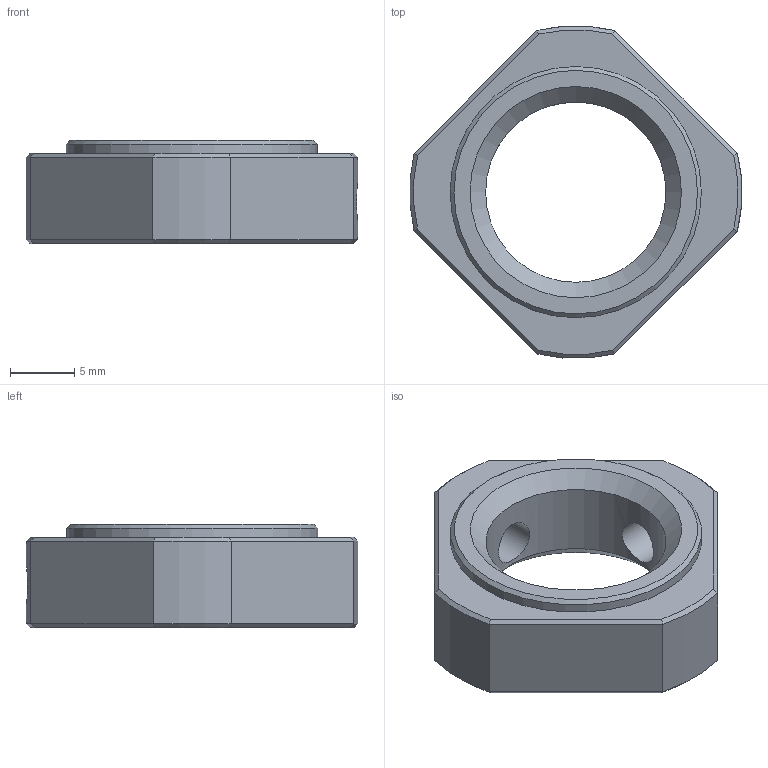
import cadquery as cq

body_diameter = 25.8
across_flats = 22.0
flats_angle = 45
body_height = 7.0
edge_chamfer = 0.3

collar_diameter = 19.5
total_height = 8.0
collar_height = total_height - body_height

bore_diameter = 14.0
countersink_diameter = 16.4
countersink_depth = (countersink_diameter - bore_diameter) / 2

screw_hole_diameter = 3.4
screw_hole_height = 3.25
screw_hole_angles = (0, 90)


def make_body():
    disc = cq.Workplane("XY").circle(body_diameter / 2).extrude(body_height)
    square = (
        cq.Workplane("XY")
        .rect(across_flats, across_flats)
        .extrude(body_height)
        .rotate((0, 0, 0), (0, 0, 1), flats_angle)
    )
    return disc.intersect(square).faces("<Z or >Z").edges().chamfer(edge_chamfer)


def make_collar():
    collar = (
        cq.Workplane("XY")
        .workplane(offset=body_height)
        .circle(collar_diameter / 2)
        .extrude(collar_height)
    )
    return collar.faces(">Z").edges().chamfer(edge_chamfer)


def cut_bore(part):
    bored = part.cut(cq.Workplane("XY").circle(bore_diameter / 2).extrude(total_height))
    bore_rims = bored.faces("<Z or >Z").edges(cq.selectors.RadiusNthSelector(0))
    return bore_rims.chamfer(countersink_depth)


def cut_screw_hole(part, angle):
    """Drill one hole outward from the axis through the wall at the given angle."""
    drill = (
        cq.Workplane("YZ")
        .center(0, screw_hole_height)
        .circle(screw_hole_diameter / 2)
        .extrude(body_diameter / 2)
        .rotate((0, 0, 0), (0, 0, 1), angle)
    )
    return part.cut(drill)


result = cut_bore(make_body().union(make_collar()))
for hole_angle in screw_hole_angles:
    result = cut_screw_hole(result, hole_angle)